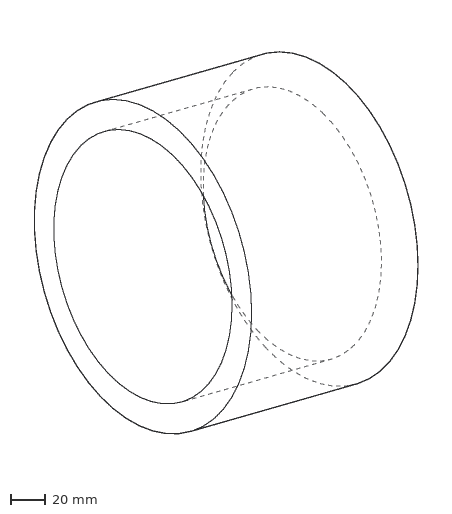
import cadquery as cq
import math

outer_radius = 100.0
wall = 18.0
total_length = 143.2
dome_height = 17.8

bore_radius = outer_radius - wall
dome_radius = (outer_radius**2 + dome_height**2) / (2 * dome_height)
dome_center_y = total_length - dome_radius


def domed_plug(radius, sphere_radius):
    """Cylinder along +Y from the open face, capped by a dome about the shared centre."""
    rim_angle = math.asin(radius / sphere_radius)

    def dome_point(angle):
        """Point of the dome profile at an angle away from the Y axis."""
        return (
            sphere_radius * math.sin(angle),
            dome_center_y + sphere_radius * math.cos(angle),
        )

    return (
        cq.Workplane("XY")
        .lineTo(radius, 0)
        .lineTo(*dome_point(rim_angle))
        .threePointArc(dome_point(rim_angle / 2), dome_point(0))
        .close()
        .revolve(360, (0, 0, 0), (0, 1, 0))
    )


body = domed_plug(outer_radius, dome_radius)
cavity = domed_plug(bore_radius, dome_radius - wall)
result = body.cut(cavity)